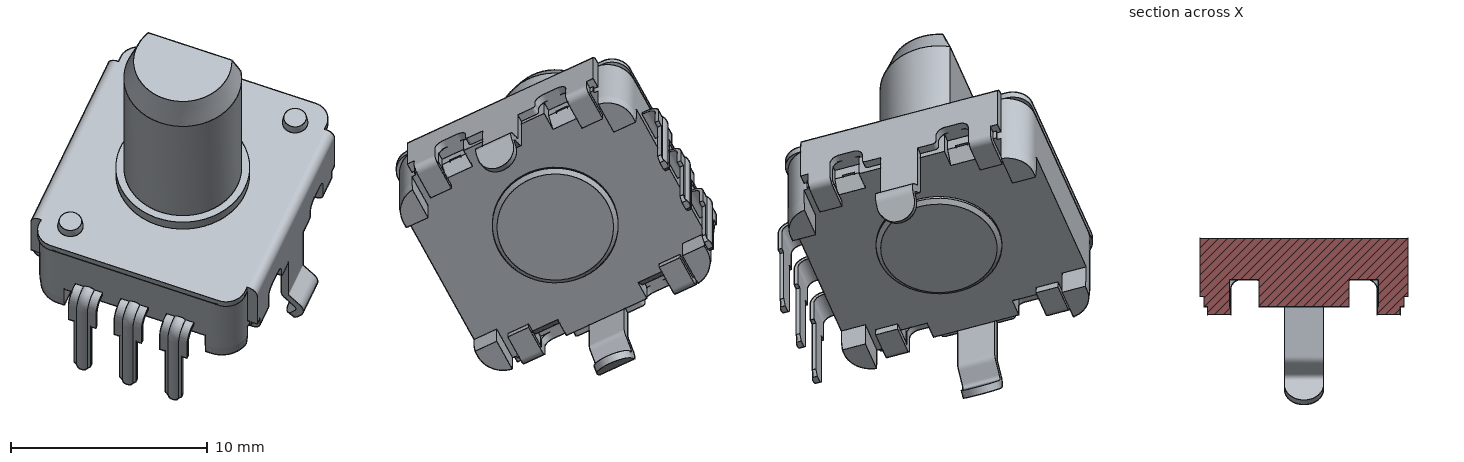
import cadquery as cq
import math


body_width = 11.35
body_length = 13.17
body_corner_radius = 1.5
body_bottom = 1.5
foot_width = 1.81
foot_length = 1.3
foot_tip_height = 0.67
foot_tip_inset = 0.05
pad_lower_length = 10.18
relief_inner_y = 2.3
relief_outer_y = 3.77
relief_slope_top = 2.2
relief_depth = 0.5
relief_slope_depth = 0.5
relief_notch_width = 0.63
relief_notch_height = 0.13
relief_notch_depth = 0.18
boss_radius = 3.2
boss_tip_radius = 2.96
boss_rim_height = 0.13
boss_bottom = 1.18

sheet_thickness = 0.4
cover_top = 5.0
plate_width = 11.28
plate_length = 13.2
plate_corner_radius = 1.04
side_span = 12.4
side_length = 10.58
bend_radius = 0.5
notch_height = 2.02
tab_outer_y = 4.9
tab_inner_y = 3.72
tab_reach = 1.85
window_inner_y = 1.98
window_top = 2.87
shoulder_height = 1.81
shoulder_radius = 0.18

clip_width = 2.0
clip_span = 14.0
clip_bend_z = -1.1
clip_upper_angle = 42
clip_lower_angle = 53.5
clip_tip_z = -3.48
clip_apex_radius = 0.67
clip_end_radius = 0.98

stud_x = 4.1
stud_y = 5.1
stud_base_radius = 0.65
stud_middle_radius = 0.61
stud_top_radius = 0.57
stud_middle_height = 0.25
stud_height = 0.43

collar_radius = 3.4
collar_top = 5.6
shaft_radius = 3.0
shaft_top = 15.0
flat_offset = 1.5
flat_start = 8.0
shaft_chamfer_height = 1.5
shaft_chamfer_width = 0.5

pin_pitch = 2.5
pin_count = 3
pin_thickness = 0.2
pin_width = 0.9
pin_shoulder_width = 1.5
pin_shoulder_bottom = 0.39
pin_top = 2.31
pin_face_y = -7.53
pin_tip_z = -3.5
pin_bend_radius = 0.7
pin_tip_chamfer_width = 0.24
pin_tip_chamfer_height = 0.31
rib_width = 0.6
rib_height = 0.11
pin_root_depth = 0.37

body_top = cover_top - sheet_thickness
side_outer_x = side_span / 2
side_inner_x = side_outer_x - sheet_thickness


def box(x_range, y_range, z_range):
    """Axis-aligned box between the given limits."""
    size = [high - low for low, high in (x_range, y_range, z_range)]
    corner = (x_range[0], y_range[0], z_range[0])
    return cq.Workplane("XY").box(*size, centered=False).translate(corner)


def both_ends(shape):
    """The shape and its mirror image at the opposite Y end."""
    return shape.union(shape.mirror("XZ"))


def both_sides(shape):
    """The shape and its mirror image at the opposite X side."""
    return shape.union(shape.mirror("YZ"))


def make_relief():
    """Cutter for the recess behind one cover window: upright back, sloped foot, small notch between."""
    back_x = side_inner_x - relief_depth
    recess = (
        cq.Workplane("XZ", origin=(0, relief_outer_y, 0))
        .polyline([
            (side_inner_x, window_top), (back_x, window_top), (back_x, relief_slope_top),
            (back_x - relief_slope_depth, body_bottom), (side_inner_x, body_bottom),
        ])
        .close().extrude(relief_outer_y - relief_inner_y)
    )
    middle_y = (relief_outer_y + relief_inner_y) / 2
    notch = box(
        (back_x - relief_notch_depth, back_x),
        (middle_y - relief_notch_width / 2, middle_y + relief_notch_width / 2),
        (relief_slope_top, relief_slope_top + relief_notch_height),
    )
    return recess.union(notch)


def make_body():
    """Rounded block with corner feet, side pads with recesses, and a round boss underneath."""
    block = (
        cq.Workplane("XY").workplane(offset=foot_tip_height)
        .rect(body_width, body_length).extrude(body_top - foot_tip_height)
        .edges("|Z").fillet(body_corner_radius)
    )
    draft_angle = math.degrees(math.atan2(foot_tip_inset, foot_tip_height))
    foot_tips = block.faces("<Z").wires().toPending().workplane().extrude(
        foot_tip_height, taper=draft_angle, combine=False)
    block = block.union(foot_tips)

    foot_inner_x = body_width / 2 - foot_width
    foot_inner_y = body_length / 2 - foot_length
    below = (0, body_bottom)
    gap_along_x = box((-foot_inner_x, foot_inner_x), (-body_length, body_length), below)
    gap_along_y = box((-body_width, body_width), (-foot_inner_y, foot_inner_y), below)
    block = block.cut(gap_along_x).cut(gap_along_y)

    for length, bottom, top in (
        (pad_lower_length, body_bottom, notch_height),
        (side_length, notch_height, body_top),
    ):
        pad = box((-side_inner_x, side_inner_x), (-length / 2, length / 2), (bottom, top))
        block = block.union(pad)
    block = block.cut(both_sides(both_ends(make_relief())))

    boss_rim = body_bottom - boss_rim_height
    boss = (
        cq.Workplane("XZ")
        .polyline([
            (0, body_top), (boss_radius, body_top), (boss_radius, boss_rim),
            (boss_tip_radius, boss_bottom), (0, boss_bottom),
        ])
        .close().revolve(360, (0, 0), (0, 1))
    )
    return block.union(boss)


def make_cover_side():
    """Side wall at +X with its top bend, windows and retaining tabs."""
    tab_bottom = body_bottom - sheet_thickness
    tab_end_x = side_outer_x - tab_reach
    wall = (
        cq.Workplane("XZ", origin=(0, side_length / 2, 0))
        .moveTo(0, body_top).lineTo(0, cover_top)
        .lineTo(side_outer_x, cover_top).lineTo(side_outer_x, tab_bottom)
        .lineTo(tab_end_x, tab_bottom).lineTo(tab_end_x, body_bottom)
        .lineTo(side_inner_x, body_bottom).lineTo(side_inner_x, body_top)
        .close().extrude(side_length)
    )
    wall = wall.edges(">X and >Z").fillet(bend_radius)
    wall = wall.edges(">X and <Z and |Y").fillet(sheet_thickness)

    x_range = (tab_end_x, side_outer_x)
    end_notch = box(x_range, (tab_outer_y, side_length / 2), (tab_bottom, notch_height))
    window = (
        box(x_range, (window_inner_y, tab_inner_y), (tab_bottom, window_top))
        .edges(">Z and |X").fillet(bend_radius)
    )
    shoulder = box(x_range, (0, window_inner_y), (tab_bottom, shoulder_height))
    wall = wall.cut(both_ends(end_notch)).cut(both_ends(window)).cut(both_ends(shoulder))
    shoulder_x = (side_inner_x + side_outer_x) / 2
    for y in (-window_inner_y, window_inner_y):
        corner = cq.NearestToPointSelector((shoulder_x, y, shoulder_height))
        wall = wall.edges(corner).fillet(shoulder_radius)
    return wall


def make_clip():
    """Springy leg at +X: straight down, outward, then back inward to a round end."""
    upper = math.radians(clip_upper_angle)
    lower = math.radians(clip_lower_angle)

    half_opening = (upper + lower) / 2
    skew = (lower - upper) / 2
    overshoot = clip_apex_radius * (math.cos(skew) / math.sin(half_opening) - 1)
    bend = (side_outer_x, clip_bend_z)
    apex_x = clip_span / 2 + overshoot
    apex = (apex_x, clip_bend_z - (apex_x - side_outer_x) * math.tan(upper))
    tip = (apex_x - (apex[1] - clip_tip_z) / math.tan(lower), clip_tip_z)

    down = -math.pi / 2
    out = -upper
    back = lower - math.pi

    def inner_corner(point, before, after):
        normal = (before + after) / 2 - math.pi / 2
        miter = sheet_thickness / math.cos((after - before) / 2)
        return (point[0] + miter * math.cos(normal), point[1] + miter * math.sin(normal))

    inner_bend = inner_corner(bend, down, out)
    inner_apex = inner_corner(apex, out, back)
    inner_tip = inner_corner(tip, back, back)
    outline = [
        (side_outer_x, shoulder_height), bend, apex, tip,
        inner_tip, inner_apex, inner_bend, (side_inner_x, shoulder_height),
    ]
    leg = (
        cq.Workplane("XZ", origin=(0, clip_width / 2, 0))
        .polyline(outline).close().extrude(clip_width)
    )
    bends = [
        (apex, clip_apex_radius), (inner_apex, clip_apex_radius - sheet_thickness),
        (inner_bend, bend_radius), (bend, bend_radius - sheet_thickness),
    ]
    for (x, z), radius in bends:
        leg = leg.edges(cq.NearestToPointSelector((x, 0, z))).fillet(radius)
    tip_middle = ((tip[0] + inner_tip[0]) / 2, (tip[1] + inner_tip[1]) / 2)
    for y in (-clip_width / 2, clip_width / 2):
        corner = cq.NearestToPointSelector((tip_middle[0], y, tip_middle[1]))
        leg = leg.edges(corner).fillet(clip_end_radius)
    return leg


def make_stud():
    """Rivet head narrowing upward in two steps, with its foot sunk into the plate."""
    return (
        cq.Workplane("XZ")
        .polyline([
            (0, -sheet_thickness), (stud_base_radius, -sheet_thickness), (stud_base_radius, 0),
            (stud_middle_radius, stud_middle_height), (stud_top_radius, stud_height), (0, stud_height),
        ])
        .close().revolve(360, (0, 0), (0, 1))
    )


def make_cover():
    """Top plate, both side walls with clips, and the two studs."""
    plate = (
        cq.Workplane("XY").workplane(offset=body_top)
        .rect(plate_width, plate_length).extrude(sheet_thickness)
        .edges("|Z").fillet(plate_corner_radius)
    )
    cover = plate.union(both_sides(make_cover_side().union(make_clip())))
    for sign in (-1, 1):
        cover = cover.union(make_stud().translate((sign * stud_x, sign * stud_y, cover_top)))
    return cover


def make_shaft():
    """Round collar and shaft with a flat facing +Y and a chamfered tip."""
    collar = (
        cq.Workplane("XY").workplane(offset=body_top)
        .circle(collar_radius).extrude(collar_top - body_top)
    )
    shaft = cq.Workplane("XY").workplane(offset=body_top).circle(shaft_radius).extrude(shaft_top - body_top)
    shaft = shaft.faces(">Z").chamfer(shaft_chamfer_height, shaft_chamfer_width)
    flat = (
        cq.Workplane("YZ", origin=(-shaft_radius, 0, 0))
        .polyline([
            (flat_offset, flat_start), (flat_offset, shaft_top - shaft_chamfer_height),
            (flat_offset - shaft_chamfer_width, shaft_top), (shaft_radius, shaft_top),
            (shaft_radius, flat_start),
        ])
        .close().extrude(2 * shaft_radius)
    )
    return collar.union(shaft.cut(flat))


def make_pin():
    """Terminal leaving the -Y wall, bent down, with a wide shoulder and a raised rib."""
    root_y = pin_root_depth - body_length / 2
    bend_y = pin_face_y + pin_bend_radius
    bend_z = pin_top - pin_bend_radius
    diagonal = pin_bend_radius * math.sqrt(0.5)

    path = (
        cq.Workplane("YZ").moveTo(root_y, pin_top).lineTo(bend_y, pin_top)
        .threePointArc((bend_y - diagonal, bend_z + diagonal), (pin_face_y, bend_z))
        .lineTo(pin_face_y, pin_tip_z)
    )
    rib_bottom = pin_top - pin_thickness / 2
    rib = (
        cq.Workplane("XZ", origin=(0, root_y, 0))
        .moveTo(-rib_width / 2, rib_bottom).lineTo(-rib_width / 2, pin_top)
        .threePointArc((0, pin_top + rib_height), (rib_width / 2, pin_top))
        .lineTo(rib_width / 2, rib_bottom).close()
        .sweep(path)
    )

    def strip(width, bottom):
        inner = pin_bend_radius - pin_thickness
        inner_diagonal = inner * math.sqrt(0.5)
        return (
            cq.Workplane("YZ", origin=(-width / 2, 0, 0))
            .moveTo(root_y, pin_top).lineTo(bend_y, pin_top)
            .threePointArc((bend_y - diagonal, bend_z + diagonal), (pin_face_y, bend_z))
            .lineTo(pin_face_y, bottom).lineTo(pin_face_y + pin_thickness, bottom)
            .lineTo(pin_face_y + pin_thickness, bend_z)
            .threePointArc((bend_y - inner_diagonal, bend_z + inner_diagonal), (bend_y, bend_z + inner))
            .lineTo(root_y, bend_z + inner).close().extrude(width)
        )

    pin = strip(pin_width, pin_tip_z).union(strip(pin_shoulder_width, pin_shoulder_bottom)).union(rib)
    edge_x = pin_width / 2
    tip_corner = (
        cq.Workplane("XZ", origin=(0, root_y, 0))
        .polyline([
            (edge_x, pin_tip_z + pin_tip_chamfer_height), (edge_x, pin_tip_z),
            (edge_x - pin_tip_chamfer_width, pin_tip_z),
        ])
        .close().extrude(2 * (root_y - pin_face_y))
    )
    return pin.cut(both_sides(tip_corner))


result = make_body().union(make_cover()).union(make_shaft())
for index in range(pin_count):
    pin_x = (index - (pin_count - 1) / 2) * pin_pitch
    result = result.union(make_pin().translate((pin_x, 0, 0)))